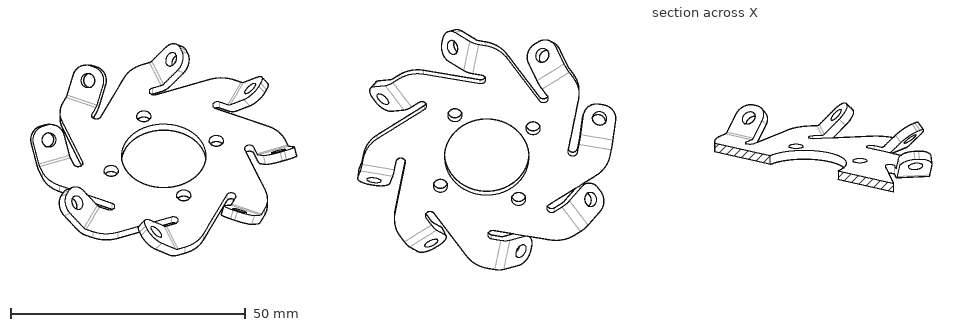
import cadquery as cq
import math

thickness = 2.0
bore_diameter = 18.0
hole_diameter = 3.0
mount_circle_radius = 12.0
mount_hole_count = 4
mount_start_angle = 45.0

arm_count = 8
arm_pitch = 360 / arm_count
tab_width = 7.0
arm_outer_y = 25.8
arm_inner_y = arm_outer_y - tab_width
slot_width = 2.0
slot_end_x = 3.55
slot_wall_y = arm_inner_y - slot_width
elbow_radius = 7.0

bend_x = 6.55
bend_angle = 45.0
bend_inner_radius = 0.75
overall_height = 7.55
tab_corner_radius = 3.0
hole_to_tip = 3.2


def rotated(point, degrees):
    """Turn a plane point counter-clockwise about the part axis."""
    angle = math.radians(degrees)
    x, y = point
    return (
        x * math.cos(angle) - y * math.sin(angle),
        x * math.sin(angle) + y * math.cos(angle),
    )


def make_plate():
    """Flat pinwheel sheet, cut off at the bend line of every tab."""
    pitch = math.radians(arm_pitch)

    corner_x = (arm_outer_y * math.cos(pitch) - slot_wall_y) / math.sin(pitch)
    elbow_x = corner_x + elbow_radius * math.tan(pitch / 2)
    elbow_center_y = arm_outer_y - elbow_radius
    elbow_middle = (
        elbow_x - elbow_radius * math.sin(pitch / 2),
        elbow_center_y + elbow_radius * math.cos(pitch / 2),
    )
    elbow_start = (
        elbow_x - elbow_radius * math.sin(pitch),
        elbow_center_y + elbow_radius * math.cos(pitch),
    )
    slot_radius = slot_width / 2
    slot_round_x = slot_end_x + slot_radius

    outline = cq.Workplane("XY").moveTo(elbow_x, arm_outer_y)
    for arm in range(arm_count):
        turn = -arm * arm_pitch
        next_turn = turn - arm_pitch
        outline = (
            outline.lineTo(*rotated((bend_x, arm_outer_y), turn))
            .lineTo(*rotated((bend_x, arm_inner_y), turn))
            .lineTo(*rotated((slot_round_x, arm_inner_y), turn))
            .threePointArc(
                rotated((slot_end_x, arm_inner_y - slot_radius), turn),
                rotated((slot_round_x, slot_wall_y), turn),
            )
            .lineTo(*rotated(elbow_start, next_turn))
            .threePointArc(
                rotated(elbow_middle, next_turn),
                rotated((elbow_x, arm_outer_y), next_turn),
            )
        )
    plate = outline.close().extrude(thickness)

    bore = cq.Workplane("XY").circle(bore_diameter / 2).extrude(thickness)
    mount_holes = (
        cq.Workplane("XY")
        .polarArray(mount_circle_radius, mount_start_angle, 360, mount_hole_count)
        .circle(hole_diameter / 2)
        .extrude(thickness)
    )
    return plate.cut(bore).cut(mount_holes)


def make_tab():
    """Bent tab with rounded tip corners and a hole square to its face."""
    angle = math.radians(bend_angle)
    sine = math.sin(angle)
    cosine = math.cos(angle)
    bend_center_z = thickness + bend_inner_radius
    bend_outer_radius = bend_inner_radius + thickness

    def on_bend(radius, turn):
        """Point on the bend, turned up from its start, as X and Z."""
        return (bend_x + radius * math.sin(turn), bend_center_z - radius * math.cos(turn))

    upper_start = on_bend(bend_inner_radius, angle)
    leg_length = (overall_height - upper_start[1]) / sine
    upper_tip = (upper_start[0] + leg_length * cosine, overall_height)
    lower_tip = (upper_tip[0] + thickness * sine, upper_tip[1] - thickness * cosine)

    tab = (
        cq.Workplane("XZ", origin=(0, arm_outer_y, 0))
        .moveTo(bend_x, 0)
        .threePointArc(on_bend(bend_outer_radius, angle / 2), on_bend(bend_outer_radius, angle))
        .lineTo(*lower_tip)
        .lineTo(*upper_tip)
        .lineTo(*upper_start)
        .threePointArc(on_bend(bend_inner_radius, angle / 2), (bend_x, thickness))
        .close()
        .extrude(tab_width)
    )
    tip_direction = cq.Vector(cosine, 0, sine)
    tip_edges = tab.faces(cq.selectors.DirectionMinMaxSelector(tip_direction)).edges("not |Y")
    tab = tip_edges.fillet(tab_corner_radius)

    face_plane = cq.Plane(
        origin=(
            upper_tip[0] - hole_to_tip * cosine,
            arm_outer_y - tab_width / 2,
            upper_tip[1] - hole_to_tip * sine,
        ),
        xDir=(0, 1, 0),
        normal=(sine, 0, -cosine),
    )
    hole = cq.Workplane(face_plane).circle(hole_diameter / 2).extrude(thickness)
    return tab.cut(hole)


result = make_plate()
tab = make_tab()
for arm in range(arm_count):
    result = result.union(tab.rotate((0, 0, 0), (0, 0, 1), arm * arm_pitch))